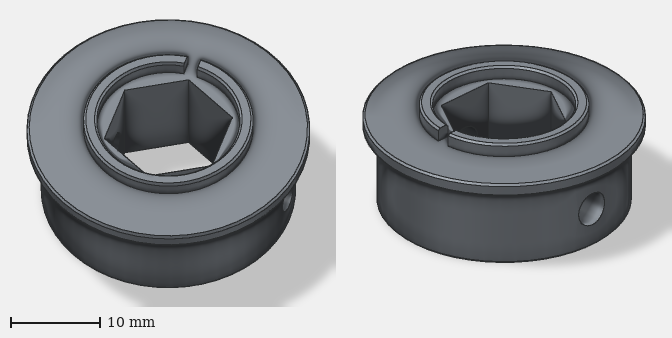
import cadquery as cq

flange_diameter = 31.75
body_diameter = 28.58
collar_diameter = 19.05
body_height = 9.52
flange_thickness = 1.6
collar_height = 1.6
edge_chamfer = 0.25

bore_across_flats = 12.7
recess_diameter = 16.05
recess_depth = 1.6
recess_chamfer = 0.25
split_width = 1.6
cross_hole_diameter = 4.03

flange_top = body_height + flange_thickness
total_height = flange_top + collar_height
recess_floor = total_height - recess_depth
cross_hole_height = body_height / 2


def disc(diameter, bottom, height):
    return cq.Workplane("XY").workplane(offset=bottom).circle(diameter / 2).extrude(height)


def stepped_body():
    """Body, flange and collar with their exposed rims chamfered."""
    body = disc(body_diameter, 0, body_height).faces("<Z").chamfer(edge_chamfer)
    flange = disc(flange_diameter, body_height, flange_thickness).edges().chamfer(edge_chamfer)
    collar = disc(collar_diameter, flange_top, collar_height).faces(">Z").chamfer(edge_chamfer)
    return body.union(flange).union(collar)


def hex_bore():
    """Through hexagon with two flats facing +X and -X."""
    return (
        cq.Workplane("XY")
        .polygon(6, bore_across_flats, circumscribed=True)
        .extrude(total_height)
    )


def collar_recess():
    """Round recess inside the collar, with a chamfered mouth."""
    recess = disc(recess_diameter, recess_floor, recess_depth)
    mouth = (
        cq.Workplane("XY")
        .workplane(offset=total_height - recess_chamfer)
        .circle(recess_diameter / 2)
        .workplane(offset=recess_chamfer)
        .circle(recess_diameter / 2 + recess_chamfer)
        .loft()
    )
    return recess.union(mouth)


def collar_split():
    """Slot that opens the collar on its +Y side, down to the flange."""
    return (
        cq.Workplane("XY")
        .workplane(offset=flange_top)
        .rect(split_width, collar_diameter / 2, centered=(True, False))
        .extrude(collar_height)
    )


def cross_hole():
    """Round hole along X through both walls of the body."""
    return (
        cq.Workplane("YZ")
        .center(0, cross_hole_height)
        .circle(cross_hole_diameter / 2)
        .extrude(flange_diameter / 2, both=True)
    )


result = (
    stepped_body()
    .cut(hex_bore())
    .cut(collar_recess())
    .cut(collar_split())
    .cut(cross_hole())
)